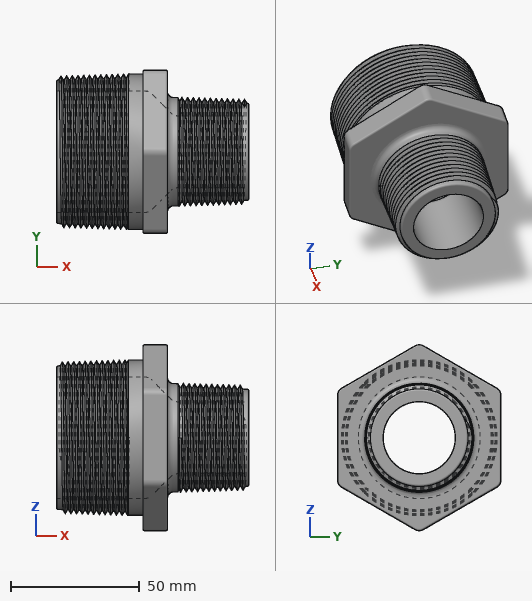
import cadquery as cq
import math

LENGTH = 74.7
COLLAR_START = 27.9
HEX_START = 33.5
HEX_END = 43.1
NECK_END = 47.05

HEX_SIDES = 6
HEX_ACROSS_FLATS = 63.5
HEX_CORNER_RADIUS = 3.3
HEX_RIM_RADIUS = 0.75

LARGE_END_RADIUS = 27.9
SMALL_END_RADIUS = 18.9
COLLAR_RADIUS = 60.4 / 2
NECK_RADIUS = 42.2 / 2
NECK_FILLET = 2.25
END_FILLET = 0.75

TAPER = 1 / 32
LARGE_THREAD_TURNS = 12
SMALL_THREAD_TURNS = 11.5
SMALL_THREAD_LENGTH = 25.4
PITCH = SMALL_THREAD_LENGTH / SMALL_THREAD_TURNS
THREAD_SETBACK = 1.7
RIDGE_HEIGHT = 1.5
RIDGE_EMBED = 0.4
THREAD_HALF_ANGLE = 30.0
FLANK_SLOPE = math.tan(math.radians(THREAD_HALF_ANGLE))
RUN_OUT_ANGLE = 55.0
SEAM_ANGLE = 90.0
RUN_OUT_CENTRE_RATIO = 0.5

LARGE_BORE_RADIUS = 47.3 / 2
SMALL_BORE_RADIUS = 27.9 / 2
BORE_CONE_START = 35.85
BORE_CONE_END = BORE_CONE_START + LARGE_BORE_RADIUS - SMALL_BORE_RADIUS
BORE_WIDE_FILLET = 3.7
BORE_NARROW_FILLET = 3.0
EDGE_SEARCH_REACH = 0.75


def revolve_profile(points):
    """Turn an outline of (x, radius) points about the X axis."""
    return cq.Workplane("XY").polyline(points).close().revolve(360, (0, 0), (1, 0))


def threaded_blank(end_radius, shoulder_radius, shoulder, depth):
    """Tapered root cone from x = 0 that rises along a thread flank to a plain shoulder."""
    root_at_shoulder = end_radius + TAPER * shoulder
    flank_start = shoulder - (shoulder_radius - root_at_shoulder) * FLANK_SLOPE
    blank = revolve_profile([
        (0, 0),
        (0, end_radius),
        (flank_start, end_radius + TAPER * flank_start),
        (shoulder, shoulder_radius),
        (depth, shoulder_radius),
        (depth, 0),
    ])
    return blank.faces("<X").edges().fillet(END_FILLET)


def thread_ridge(end_radius, turns):
    """Right-hand ridge along +X that starts on the +Y side, where a short run-out dips into the root."""
    root = end_radius + TAPER * THREAD_SETBACK
    base = root - RIDGE_EMBED
    crest = root + RIDGE_HEIGHT
    half_width = (crest - base) * FLANK_SLOPE
    section = cq.Workplane("XZ").polyline([(base, -half_width), (crest, 0), (base, half_width)]).close()

    run_out_centre = root * RUN_OUT_CENTRE_RATIO
    run_out = section.revolve(RUN_OUT_ANGLE, (run_out_centre, 0.75), (run_out_centre, 0)).val()

    taper_angle = math.degrees(math.atan(TAPER))
    helix = cq.Wire.makeHelix(PITCH, PITCH * turns, root, angle=taper_angle)
    ridge = section.toPending().sweep(cq.Workplane(obj=helix), isFrenet=True).val()

    pieces = cq.Workplane(obj=ridge).add(run_out)
    return pieces.rotate((0, 0, 0), (1, 1, 1), 120).translate((THREAD_SETBACK, 0, 0))


def threaded_end(turns, end_radius, shoulder_radius, shoulder, depth):
    """Blank with its ridge; the blank's seam is turned away from the side where the ridge starts."""
    end = threaded_blank(end_radius, shoulder_radius, shoulder, depth)
    end = end.rotate((0, 0, 0), (1, 0, 0), SEAM_ANGLE)
    for piece in thread_ridge(end_radius, turns).vals():
        end = end.union(cq.Workplane(obj=piece))
    return end


def facing_small_end(shape):
    """Turn a feature built from x = 0 inward so that it starts at the small end instead."""
    return shape.rotate((0, 0, 0), (0, 1, 0), 180).translate((LENGTH, 0, 0))


def hex_section():
    """Wrench section with flats on the +Y and -Y sides and rounded corners and rims."""
    across_corners = HEX_ACROSS_FLATS / math.cos(math.pi / HEX_SIDES)
    prism = (
        cq.Workplane("YZ", origin=(HEX_START, 0, 0))
        .transformed(rotate=(0, 0, 90))
        .polygon(HEX_SIDES, across_corners)
        .extrude(HEX_END - HEX_START)
    )
    rounded = prism.edges("|X").fillet(HEX_CORNER_RADIUS)
    return rounded.faces("<X or >X").edges().fillet(HEX_RIM_RADIUS)


def neck_fillet():
    """Concave ring that blends the neck into the hexagon face."""
    flare = NECK_RADIUS + NECK_FILLET
    arc_offset = NECK_FILLET * (1 - math.sqrt(0.5))
    return (
        cq.Workplane("XY")
        .moveTo(HEX_END - HEX_RIM_RADIUS, 0)
        .lineTo(HEX_END - HEX_RIM_RADIUS, flare)
        .lineTo(HEX_END, flare)
        .threePointArc(
            (HEX_END + arc_offset, NECK_RADIUS + arc_offset),
            (HEX_END + NECK_FILLET, NECK_RADIUS),
        )
        .lineTo(HEX_END + NECK_FILLET, 0)
        .close()
        .revolve(360, (0, 0), (1, 0))
    )


def circles_near(shape, station):
    """Circular edges of a turned shape close to a station on the X axis."""
    low_corner = (station - EDGE_SEARCH_REACH, -LENGTH, -LENGTH)
    high_corner = (station + EDGE_SEARCH_REACH, LENGTH, LENGTH)
    return shape.edges("%CIRCLE").edges(cq.selectors.BoxSelector(low_corner, high_corner))


def stepped_bore():
    """Large and small bores joined by a cone with blended ends."""
    bore = revolve_profile([
        (0, 0),
        (0, LARGE_BORE_RADIUS),
        (BORE_CONE_START, LARGE_BORE_RADIUS),
        (BORE_CONE_END, SMALL_BORE_RADIUS),
        (LENGTH, SMALL_BORE_RADIUS),
        (LENGTH, 0),
    ])
    bore = circles_near(bore, BORE_CONE_START).fillet(BORE_WIDE_FILLET)
    return circles_near(bore, BORE_CONE_END).fillet(BORE_NARROW_FILLET)


large_end = threaded_end(
    LARGE_THREAD_TURNS,
    LARGE_END_RADIUS,
    COLLAR_RADIUS,
    COLLAR_START,
    HEX_END - HEX_RIM_RADIUS,
)
small_end = threaded_end(
    SMALL_THREAD_TURNS,
    SMALL_END_RADIUS,
    NECK_RADIUS,
    LENGTH - NECK_END,
    LENGTH - HEX_START - HEX_RIM_RADIUS,
)
core = hex_section().union(neck_fillet()).union(large_end).union(facing_small_end(small_end))
result = core.cut(stepped_bore()).solids()